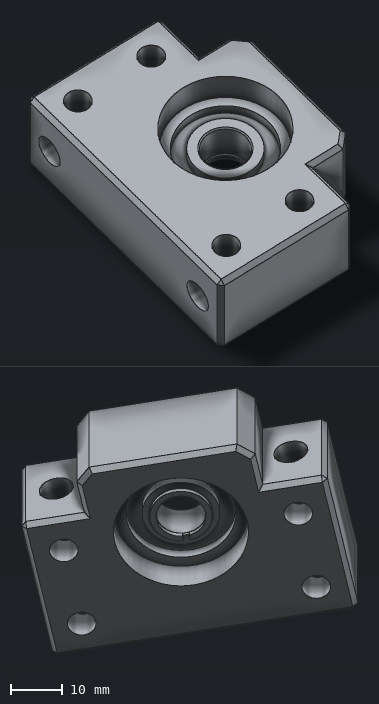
import cadquery as cq
import math

base_width = 60.0
base_depth = 32.5
tab_width = 35.0
total_depth = 43.0
height = 20.0
tab_corner_chamfer = 3.0
edge_chamfer = 1.0

hole_columns_x = (-23.0, 23.0)
hole_rows_y = (7.0, 25.0)
vertical_hole_diameter = 5.5
horizontal_hole_diameter = 6.6

bearing_y = 25.0
bearing_outer_radius = 13.0
bearing_bore_radius = 5.0
bearing_width = 8.0
inner_ring_radius = 7.45
outer_ring_radius = 10.6
ball_radius = 2.4
ring_chamfer = 0.3
bearing_base_z = (height - bearing_width) / 2

snap_ring_inner_radius = 4.8
snap_ring_outer_radius = 6.0
snap_ring_thickness = 1.0
snap_ring_gap = 1.3


def vertical_cylinder(x, y, radius):
    return cq.Workplane("XY").center(x, y).circle(radius).extrude(height)


def make_block(width, depth):
    """Block centred in X with its front face at Y = 0 and its base at Z = 0."""
    return cq.Workplane("XY").box(width, depth, height, centered=(True, False, False))


def make_housing():
    base = make_block(base_width, base_depth)
    tab = make_block(tab_width, total_depth).edges("|Z and >Y").chamfer(tab_corner_chamfer)
    body = base.union(tab)
    base_corners = body.edges("|Z and (<X or >X)")
    rims = body.faces("<Z or >Z").edges()
    body = base_corners.add(rims).chamfer(edge_chamfer)

    for x in hole_columns_x:
        for y in hole_rows_y:
            body = body.cut(vertical_cylinder(x, y, vertical_hole_diameter / 2))
        horizontal_hole = (
            cq.Workplane("XZ")
            .center(x, height / 2)
            .circle(horizontal_hole_diameter / 2)
            .extrude(-base_depth)
        )
        body = body.cut(horizontal_hole)

    return body.cut(vertical_cylinder(0, bearing_y, bearing_outer_radius))


def make_bearing():
    """Both rings and the balls between them, revolved as one simplified section."""
    half_width = bearing_width / 2
    ball_circle_radius = (inner_ring_radius + outer_ring_radius) / 2
    half_ring_gap = (outer_ring_radius - inner_ring_radius) / 2
    ball_edge_z = math.sqrt(ball_radius**2 - half_ring_gap**2)

    section = (
        cq.Workplane("XZ")
        .moveTo(bearing_bore_radius, half_width - ring_chamfer)
        .lineTo(bearing_bore_radius + ring_chamfer, half_width)
        .lineTo(inner_ring_radius, half_width)
        .lineTo(inner_ring_radius, ball_edge_z)
        .threePointArc((ball_circle_radius, ball_radius), (outer_ring_radius, ball_edge_z))
        .lineTo(outer_ring_radius, half_width)
        .lineTo(bearing_outer_radius - ring_chamfer, half_width)
        .lineTo(bearing_outer_radius, half_width - ring_chamfer)
        .lineTo(bearing_outer_radius, 0)
        .lineTo(bearing_bore_radius, 0)
        .close()
    )
    upper_half = section.revolve(360, (0, 0, 0), (0, 1, 0))
    whole = upper_half.union(upper_half.mirror("XY"))
    return whole.translate((0, bearing_y, bearing_base_z + half_width))


def make_snap_ring():
    """Flat open ring with its gap on the -Y side."""
    ring = (
        cq.Workplane("XY")
        .circle(snap_ring_outer_radius)
        .circle(snap_ring_inner_radius)
        .extrude(snap_ring_thickness)
    )
    gap = (
        cq.Workplane("XY")
        .center(0, -snap_ring_outer_radius / 2)
        .rect(snap_ring_gap, snap_ring_outer_radius)
        .extrude(snap_ring_thickness)
    )
    return ring.cut(gap).translate((0, bearing_y, bearing_base_z - snap_ring_thickness))


housing = make_housing()
bearing = make_bearing()
snap_ring = make_snap_ring()

result = cq.Compound.makeCompound([housing.val(), bearing.val(), snap_ring.val()])